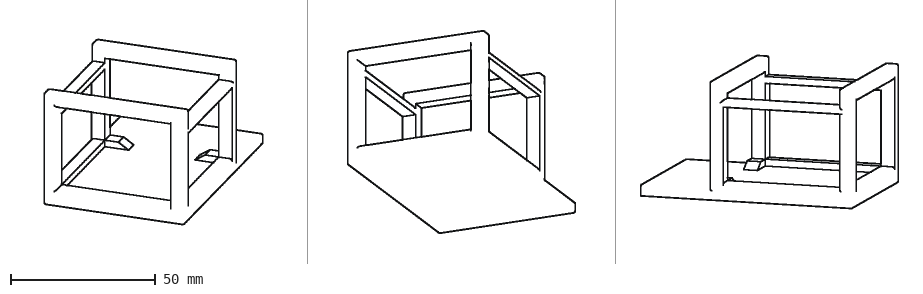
import cadquery as cq

CUBE = 52.0
FINISHED_HEIGHT = 41.96
LENGTH = 77.0

BAR = 5.0
SILL_TOP = 8.0
HEADER_BOTTOM = 46.0
RAIL_BOTTOM = 41.0
RAIL_TOP = 44.0
ROUND = 1.0

GAP_TOP_WIDTH = 32.0
GAP_FLOOR_WIDTH = 24.5

HALF = CUBE / 2
INNER_HALF = HALF - BAR
BACK_HOOP_FRONT = CUBE - BAR
TOLERANCE = 1e-4


def block(x_range, y_range, z_range):
    """Box spanning the given (low, high) ranges."""
    sizes = [high - low for low, high in (x_range, y_range, z_range)]
    corner = (x_range[0], y_range[0], z_range[0])
    return cq.Workplane("XY").box(*sizes, centered=False).translate(corner)


def side_profile_body():
    """Solid body with the side outline: plate, two uprights and the rail between them."""
    outline = [
        (0, 0),
        (LENGTH, 0),
        (LENGTH, BAR),
        (CUBE, BAR),
        (CUBE, CUBE),
        (BACK_HOOP_FRONT, CUBE),
        (BACK_HOOP_FRONT, RAIL_TOP),
        (BAR, RAIL_TOP),
        (BAR, CUBE),
        (0, CUBE),
    ]
    return cq.Workplane("YZ").polyline(outline).close().extrude(HALF, both=True)


def sill_gap():
    """Cutter for the gap in the back sill, narrowing toward the floor."""
    outline = [
        (-GAP_FLOOR_WIDTH / 2, BAR),
        (GAP_FLOOR_WIDTH / 2, BAR),
        (GAP_TOP_WIDTH / 2, SILL_TOP),
        (-GAP_TOP_WIDTH / 2, SILL_TOP),
    ]
    gap = cq.Workplane("XZ").polyline(outline).close().extrude(-BAR)
    return gap.translate((0, BACK_HOOP_FRONT, 0))


def open_frame():
    """Body hollowed into a frame of posts, rails and sills with a closed floor."""
    inside_x = (-INNER_HALF, INNER_HALF)
    inside_y = (BAR, BACK_HOOP_FRONT)
    cavity = block(inside_x, inside_y, (BAR, CUBE))
    front_to_back_opening = block(inside_x, (0, CUBE), (SILL_TOP, HEADER_BOTTOM))
    side_to_side_opening = block((-HALF, HALF), inside_y, (SILL_TOP, RAIL_BOTTOM))

    body = side_profile_body()
    for cutter in (cavity, front_to_back_opening, side_to_side_opening, sill_gap()):
        body = body.cut(cutter)
    return body


def near(value, target):
    return abs(value - target) < TOLERANCE


def is_rounded(edge):
    """True for the edges of the side, front and top faces that carry a rounding."""
    box = edge.BoundingBox()
    middle = edge.Center()
    on_side = near(box.xlen, 0) and near(abs(middle.x), HALF)
    on_front = near(box.ylen, 0) and near(middle.y, 0)
    on_top = near(box.zlen, 0) and near(middle.z, CUBE)

    plate_end = near(middle.y, LENGTH)
    rail_underside = near(middle.z, RAIL_BOTTOM)
    back_post_in_opening = near(middle.y, BACK_HOOP_FRONT) and middle.z < RAIL_BOTTOM
    right_post_in_opening = near(middle.x, INNER_HALF)
    sharp = plate_end or rail_underside or back_post_in_opening or right_post_in_opening
    return (on_side or on_front or on_top) and not sharp


def round_edges(body):
    edges = [edge for edge in body.edges().vals() if is_rounded(edge)]
    return body.newObject(edges).fillet(ROUND)


def flatten(body):
    """Compress the cube along Z to its finished height; the roundings turn elliptical."""
    compression = cq.Matrix([
        [1, 0, 0, 0],
        [0, 1, 0, 0],
        [0, 0, FINISHED_HEIGHT / CUBE, 0],
    ])
    return cq.Workplane(obj=body.val().transformGeometry(compression))


result = flatten(round_edges(open_frame()))